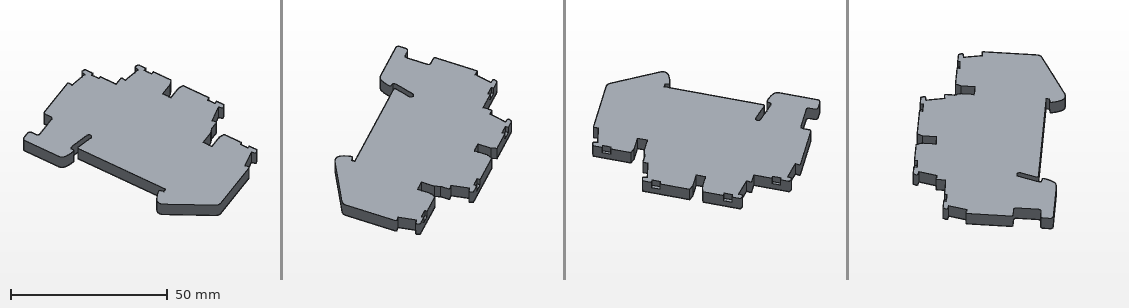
import cadquery as cq
import math

LENGTH = 67.8
HEIGHT = 45.9
THICKNESS = 5.15

LOWER_TOP = 35.3
UPPER_TOP = HEIGHT
LOWER_AXIS = LENGTH / 2
UPPER_AXIS = 31.25
LOWER_HALF = 32.15
UPPER_HALF = 16.0
UPPER_SHOULDER_HALF = 17.8

CLIP_TIP_OUT = 0.5
CLIP_TIP_DROP = 1.15
CLIP_LIP_OUT = 0.2
CLIP_LIP_DROP = 1.55
CLIP_NECK_IN = 1.0
CLIP_NECK_DROP = 1.75
CLIP_FOOT_DROP = 7.65
CLIP_SHOULDER_DROP = 7.4
CLIP_ROUND = 0.35
SHOULDER_WIDTH = 1.6
SHOULDER_ROUND = 0.4

SLOT_DEPTH = 6.3
FLARE_DEPTH = 1.8
FLARE_OUT = 0.7
UPPER_SLOT_LEFT = 28.2
UPPER_SLOT_RIGHT = 31.25
LOWER_SLOT_LEFT = UPPER_AXIS + UPPER_SHOULDER_HALF + FLARE_OUT
LOWER_SLOT_RIGHT = 53.0

NOTCH_DEPTH = 3.5
NOTCH_BOTTOM = 4.1
NOTCH_TOP = 12.8
NOTCH_ROUND = 0.8
NOTCH_EDGE_ROUND = 0.6
FOOT_ROUND = 0.95

RAIL_AXIS = 32.4
RAIL_TOP = 6.05
RAIL_HALF = 17.35
HOOK_LIP_HALF = 15.85
HOOK_LIP_Y = 4.6
HOOK_SEAT_Y = 4.95
HOOK_LIP_ROUND = 0.3
HOOK_BEND_HALF = 16.3
HOOK_BEND_Y = 2.45
HOOK_BEND_ROUND = 8.8
HOOK_BASE_HALF = 17.7
HOOK_BASE_ROUND = 2.05

RELIEF_ANGLE = 75.0
RELIEF_RADIUS = 0.8
RELIEF_END_X = 17.5
RELIEF_END_Y = 12.1
RELIEF_MOUTH_ROUND = 0.5

SLOPE_ANGLE = 30.0
SLOPE_CORNER_Y = 9.2
SLOPE_ROUND = 2.05

SAME_POINT = 0.001

MARKER_WIDTH = 2.8
MARKER_DEPTH = THICKNESS / 2
UPPER_MARKER_REACH = 1.0
LOWER_MARKER_REACH = 0.8
UPPER_MARKER_HALF = 11.8
LOWER_MARKER_HALF = 27.8


def mirrored(corners, axis):
    """Reflect (x, y, radius) corners about x = axis, reversing their order."""
    return [(2 * axis - x, y, radius) for x, y, radius in reversed(corners)]


def left_clip(top_x, top_y, shoulder_x):
    """Corners of a left-hand clip, from its shoulder up to the tier top."""
    return [
        (shoulder_x, top_y - CLIP_SHOULDER_DROP, SHOULDER_ROUND),
        (shoulder_x + SHOULDER_WIDTH, top_y - CLIP_FOOT_DROP, 0),
        (top_x + CLIP_NECK_IN, top_y - CLIP_NECK_DROP, 0),
        (top_x - CLIP_LIP_OUT, top_y - CLIP_LIP_DROP, CLIP_ROUND),
        (top_x - CLIP_TIP_OUT, top_y - CLIP_TIP_DROP, CLIP_ROUND),
        (top_x, top_y, CLIP_ROUND),
    ]


def top_slot(left, right, top_y):
    """Corners of a flared slot, from left mouth to right mouth."""
    floor_y = top_y - SLOT_DEPTH
    flare_y = top_y - FLARE_DEPTH
    return [
        (left - FLARE_OUT, top_y, 0),
        (left, flare_y, 0),
        (left, floor_y, 0),
        (right, floor_y, 0),
        (right, flare_y, 0),
        (right + FLARE_OUT, top_y, 0),
    ]


def left_hook():
    """Corners of the left rail hook, from its seat down to the base."""
    return [
        (RAIL_AXIS - RAIL_HALF, HOOK_SEAT_Y, 0),
        (RAIL_AXIS - HOOK_LIP_HALF, HOOK_LIP_Y, HOOK_LIP_ROUND),
        (RAIL_AXIS - HOOK_BEND_HALF, HOOK_BEND_Y, HOOK_BEND_ROUND),
        (RAIL_AXIS - HOOK_BASE_HALF, 0, HOOK_BASE_ROUND),
    ]


def relief_wall_x(side, y):
    """X of the relief slot wall at height y; side is -1 left or +1 right."""
    angle = math.radians(RELIEF_ANGLE)
    center_x = RELIEF_END_X + (y - RELIEF_END_Y) / math.tan(angle)
    return center_x + side * RELIEF_RADIUS / math.sin(angle)


def relief_slot():
    """Corners of the relief slot, from the rail edge around to the left hook."""
    angle = math.radians(RELIEF_ANGLE)
    end_x = RELIEF_END_X + RELIEF_RADIUS * math.cos(angle)
    end_y = RELIEF_END_Y + RELIEF_RADIUS * math.sin(angle)
    across_x = RELIEF_RADIUS * math.sin(angle)
    across_y = RELIEF_RADIUS * math.cos(angle)
    seat_x = RAIL_AXIS - RAIL_HALF
    run = relief_wall_x(-1, RELIEF_END_Y) - seat_x
    slant_start_y = RELIEF_END_Y - run * math.tan(angle)
    return [
        (relief_wall_x(1, RAIL_TOP), RAIL_TOP, RELIEF_MOUTH_ROUND),
        (end_x + across_x, end_y - across_y, RELIEF_RADIUS),
        (end_x - across_x, end_y + across_y, RELIEF_RADIUS),
        (seat_x, slant_start_y, 0),
    ]


def outline_corners():
    """Corners (x, y, radius) of the whole outline, clockwise from the foot."""
    lower_clip = left_clip(LOWER_AXIS - LOWER_HALF, LOWER_TOP, 0)
    upper_shoulder_x = UPPER_AXIS - UPPER_SHOULDER_HALF
    upper_clip = left_clip(UPPER_AXIS - UPPER_HALF, UPPER_TOP, upper_shoulder_x)
    hook = left_hook()

    slope = math.radians(SLOPE_ANGLE)
    slope_start_x = LENGTH - SLOPE_CORNER_Y / math.tan(slope)

    corners = [
        (0, 0, FOOT_ROUND),
        (0, NOTCH_BOTTOM, FOOT_ROUND),
        (NOTCH_DEPTH, NOTCH_BOTTOM, NOTCH_ROUND),
        (NOTCH_DEPTH, NOTCH_TOP, NOTCH_ROUND),
        (0, NOTCH_TOP, NOTCH_EDGE_ROUND),
    ]
    corners += lower_clip
    corners += [(upper_shoulder_x, LOWER_TOP, 0)]
    corners += upper_clip
    corners += top_slot(UPPER_SLOT_LEFT, UPPER_SLOT_RIGHT, UPPER_TOP)
    corners += mirrored(upper_clip, UPPER_AXIS)
    corners += top_slot(LOWER_SLOT_LEFT, LOWER_SLOT_RIGHT, LOWER_TOP)
    corners += mirrored(lower_clip, LOWER_AXIS)
    corners += [
        (LENGTH, SLOPE_CORNER_Y, SLOPE_ROUND),
        (slope_start_x, 0, HOOK_BASE_ROUND),
    ]
    corners += mirrored(hook, RAIL_AXIS)
    corners += [(RAIL_AXIS + RAIL_HALF, RAIL_TOP, 0)]
    corners += relief_slot()
    corners += hook
    return corners


def corner_arc(before, corner, after):
    """Start, middle and end of the tangent arc that rounds a corner.

    With a zero radius all three coincide with the corner.
    """
    here = cq.Vector(corner[0], corner[1])
    radius = corner[2]
    back = (cq.Vector(before[0], before[1]) - here).normalized()
    ahead = (cq.Vector(after[0], after[1]) - here).normalized()
    half_angle = back.getAngle(ahead) / 2
    setback = radius / math.tan(half_angle)
    to_middle = radius / math.sin(half_angle) - radius
    middle = here + (back + ahead).normalized() * to_middle
    return here + back * setback, middle, here + ahead * setback


def rounded_plate(corners, thickness):
    """Extrude a closed outline of (x, y, radius) corners."""
    following = corners[1:] + corners[:1]
    preceding = corners[-1:] + corners[:-1]
    arcs = [corner_arc(*trio) for trio in zip(preceding, corners, following)]

    position = arcs[-1][2]
    path = cq.Workplane("XY").moveTo(position.x, position.y)
    for (start, middle, end), corner in zip(arcs, corners):
        if (start - position).Length > SAME_POINT:
            path = path.lineTo(start.x, start.y)
        if corner[2] > 0:
            path = path.threePointArc((middle.x, middle.y), (end.x, end.y))
        position = end
    return path.close().extrude(thickness)


def marker_recesses():
    """Cutter for the marker recesses, one pair to a tier."""
    cutter = cq.Workplane("XY")
    tiers = [
        (UPPER_AXIS, UPPER_MARKER_HALF, UPPER_TOP, UPPER_MARKER_REACH),
        (LOWER_AXIS, LOWER_MARKER_HALF, LOWER_TOP, LOWER_MARKER_REACH),
    ]
    for axis, half_spacing, top_y, reach in tiers:
        recess = cq.Workplane("XY").box(
            MARKER_WIDTH, reach, MARKER_DEPTH, centered=(True, False, False)
        )
        for x in (axis - half_spacing, axis + half_spacing):
            place = (x, top_y - reach, THICKNESS - MARKER_DEPTH)
            cutter = cutter.add(recess.translate(place))
    return cutter.combine()


plate = rounded_plate(outline_corners(), THICKNESS)
result = plate.cut(marker_recesses())